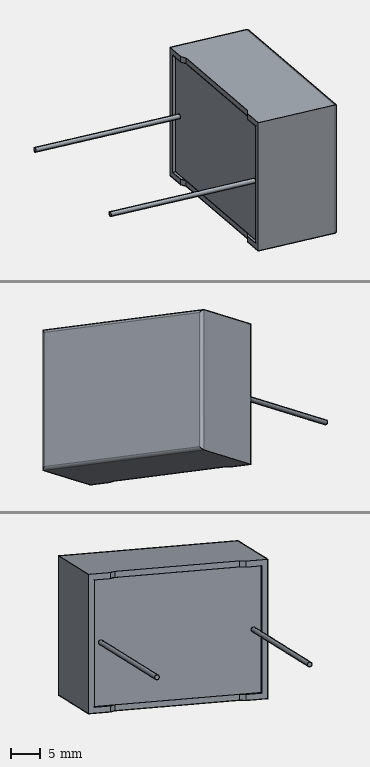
import cadquery as cq

total_length = 42.1
case_width = 32.3
case_height = 24.2
case_depth = 15.15
wall = 1.05
back_edge_radius = 0.55

relief_depth = 0.55
foot_width = 3.95
relief_end_length = 0.95

lead_diameter = 0.85
lead_pitch = 27.5

fill_face_y = relief_depth
cavity_floor_y = case_depth - wall
lead_tip_y = case_depth - total_length

cavity_width = case_width - 2 * wall
cavity_height = case_height - 2 * wall


def block_along_y(width, height, y_start, y_end):
    """Box centred on the Y axis between two Y positions."""
    return cq.Workplane("XY").box(width, y_end - y_start, height).translate((0, (y_start + y_end) / 2, 0))


def make_rim_relief():
    """Trapezoidal cutter that passes through both long rims."""
    outer_half = case_width / 2 - foot_width
    inner_half = outer_half - relief_end_length
    return (
        cq.Workplane("XY")
        .moveTo(-outer_half, 0)
        .lineTo(-inner_half, relief_depth)
        .lineTo(inner_half, relief_depth)
        .lineTo(outer_half, 0)
        .close()
        .extrude(case_height / 2, both=True)
    )


def make_case():
    """Open box with rounded back edges and relieved long rims."""
    shell = block_along_y(case_width, case_height, 0, case_depth)
    shell = shell.faces(">Y").edges().fillet(back_edge_radius)
    cavity = block_along_y(cavity_width, cavity_height, 0, cavity_floor_y)
    return shell.cut(cavity).cut(make_rim_relief())


def make_fill():
    """Potting block that fills the case cavity up to the relief floor."""
    return block_along_y(cavity_width, cavity_height, fill_face_y, cavity_floor_y)


def make_lead(x):
    """Round lead standing on the face of the fill."""
    lead_length = fill_face_y - lead_tip_y
    return (
        cq.Workplane("XZ", origin=(x, fill_face_y, 0))
        .circle(lead_diameter / 2)
        .extrude(lead_length)
    )


case = make_case()
fill = make_fill()
leads = []
for side in (-1, 1):
    leads.append(make_lead(side * lead_pitch / 2).val())

result = cq.Compound.makeCompound([case.val(), fill.val(), *leads])